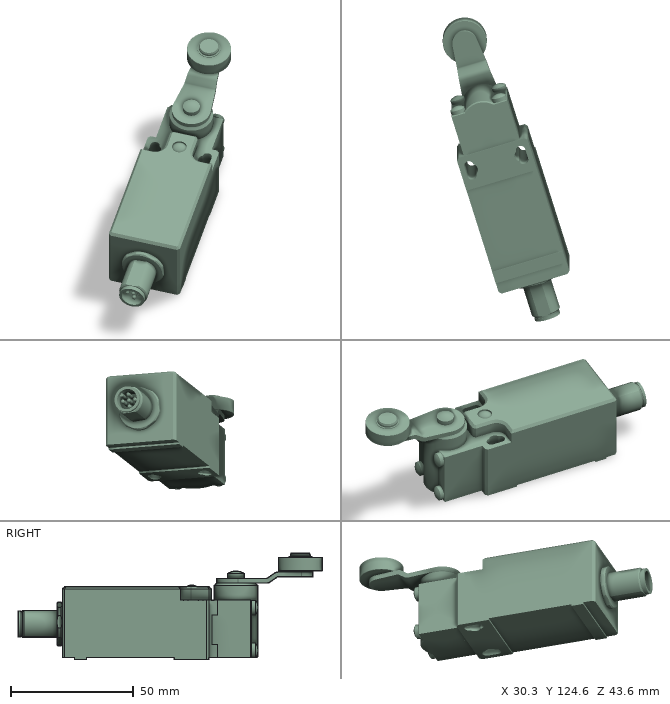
import cadquery as cq
import math


housing_width = 30.3
housing_length = 60.0
housing_top = 29.9
edge_chamfer = 1.0
foot_height = 0.7
front_foot_start = 5.0
front_foot_end = 10.0
rear_foot_start = 45.9
ledge_start = 48.5
ledge_top = 24.3
tongue_width = 11.7
tongue_end = 61.0
tongue_fillet = 4.4

slot_x = 11.1
slot_y = 53.6
slot_width = 3.9
slot_length = 8.0
slot_hole_x = 10.5
slot_hole_radius = 2.5

cover_screw_y = 53.1
cover_screw_radius = 3.0
cover_screw_recess = 0.7
cover_screw_dome = 1.4

head_width = 23.8
head_start = 63.5
head_end = 77.5
head_edge_chamfer = 0.4
coupling_start = 61.3
coupling_bottom = 6.2
coupling_top = 18.3
turret_y = 71.1
turret_radius = 9.0
turret_top = 31.3
turret_top_chamfer = 1.0
turret_bottom_chamfer = 0.5

head_screw_x = 8.8
head_screw_heights = (3.7, 21.3)
head_screw_radius = 3.0
head_screw_rim = 1.6
head_screw_dome = 1.1

arm_thickness = 2.0
arm_rise = 2.6
arm_wide_radius = 8.0
arm_tip_radius = 5.1
arm_bend_start = 83.9
arm_bend_end = 87.6
arm_inner_bend_radius = 0.9
arm_outer_bend_radius = arm_inner_bend_radius + arm_thickness
pivot_radius = 3.5
pivot_rim = 2.0
pivot_dome = 1.0

lever_end = 106.5
roller_diameter = 18.1
roller_radius = roller_diameter / 2
roller_y = lever_end - roller_radius
roller_gap = 0.4
roller_thickness = 5.6
roller_edge_chamfer = 0.1
roller_collar_radius = 4.7
roller_collar_height = 0.2
roller_pin_radius = 4.1
roller_pin_chamfer_height = 0.7
roller_pin_chamfer_width = 0.4
overall_height = 43.6

connector_z = 14.6
connector_turn = 5.5
nut_sides = 6
nut_corner_radius = 9.0
nut_flat_distance = 8.6
nut_thickness = 2.2
nut_chamfer = 0.5
connector_length = 18.1
shank_radius = 6.0
shank_flat_distance = 5.4
shank_end = 16.2
shank_end_chamfer = 0.5
groove_radius = 5.1
groove_width = 0.7
collar_radius = 5.4
socket_radius = 4.2
socket_depth = 8.7
contact_radius = 0.7
contact_tip_chamfer = 0.4
outer_contact_count = 4
contact_circle = 2.6
contact_setback = 1.9
key_radius = 0.7
key_circle = 3.7
key_angle = 180 / outer_contact_count


def box(x_size, y_range, z_range):
    """Box centred on X = 0."""
    size_y = y_range[1] - y_range[0]
    size_z = z_range[1] - z_range[0]
    return (
        cq.Workplane("XY")
        .box(x_size, size_y, size_z, centered=(True, False, False))
        .translate((0, y_range[0], z_range[0]))
    )


def upright_cylinder(radius, y, bottom, top):
    return cq.Workplane("XY", origin=(0, y, bottom)).circle(radius).extrude(top - bottom)


def domed_button(radius, rim_height, dome_height):
    """Round button on Z = 0 with a straight rim and a spherical top."""
    apex = rim_height + dome_height
    sphere_radius = (radius**2 + dome_height**2) / (2 * dome_height)
    ball = cq.Workplane("XY").sphere(sphere_radius).translate((0, 0, apex - sphere_radius))
    return cq.Workplane("XY").circle(radius).extrude(apex).intersect(ball)


def housing_base():
    base = box(housing_width, (0, housing_length), (0, ledge_top)).edges("|Z").chamfer(edge_chamfer)
    for gap in ((0, front_foot_start), (front_foot_end, rear_foot_start)):
        base = base.cut(box(housing_width, gap, (0, foot_height)))
    return base


def housing_cover():
    """Raised part with its rear tongue, chamfered all round the top."""
    half_width = housing_width / 2
    half_tongue = tongue_width / 2
    outline = [
        (-half_width, 0),
        (half_width, 0),
        (half_width, ledge_start),
        (half_tongue, ledge_start),
        (half_tongue, tongue_end),
        (-half_tongue, tongue_end),
        (-half_tongue, ledge_start),
        (-half_width, ledge_start),
    ]
    cover = cq.Workplane("XY", origin=(0, 0, ledge_top)).polyline(outline).close()
    cover = cover.extrude(housing_top - ledge_top)
    inner_corners = cq.selectors.BoxSelector(
        (-half_tongue - edge_chamfer, ledge_start - edge_chamfer, ledge_top),
        (half_tongue + edge_chamfer, ledge_start + edge_chamfer, housing_top),
    )
    cover = cover.edges(inner_corners).edges("|Z").fillet(tongue_fillet)
    cover = cover.faces("<Y or >Y").edges("|Z").chamfer(edge_chamfer)
    return cover.faces(">Z").chamfer(edge_chamfer)


def mounting_slots():
    slots = cq.Workplane("XY")
    for side in (-1, 1):
        slot = cq.Workplane("XY", origin=(side * slot_x, slot_y, 0))
        slot = slot.slot2D(slot_length, slot_width, 90).extrude(ledge_top)
        hole = cq.Workplane("XY", origin=(side * slot_hole_x, slot_y, 0))
        slots = slots.add(slot.union(hole.circle(slot_hole_radius).extrude(ledge_top)))
    return slots.combine()


def coupling():
    """Cross-shaped tab of the head that fills a matching recess in the housing neck."""
    depth = (coupling_start, head_start)
    across = box(head_width, depth, (coupling_bottom, coupling_top))
    upright = box(tongue_width, depth, (foot_height, ledge_top))
    return across.union(upright)


def make_housing():
    neck = box(head_width, (rear_foot_start, head_start), (foot_height, ledge_top))
    body = housing_base().union(neck).cut(coupling()).union(housing_cover()).cut(mounting_slots())
    recess_floor = housing_top - cover_screw_recess
    recess = upright_cylinder(cover_screw_radius, cover_screw_y, recess_floor, housing_top)
    screw = domed_button(cover_screw_radius, 0, cover_screw_dome)
    return body.cut(recess).union(screw.translate((0, cover_screw_y, recess_floor)))


def head_screw(x, z):
    screw = domed_button(head_screw_radius, head_screw_rim, head_screw_dome)
    return screw.rotate((0, 0, 0), (1, 0, 0), -90).translate((x, head_end, z))


def make_head():
    block = box(head_width, (head_start, head_end), (foot_height, ledge_top))
    block = block.faces(">Y").chamfer(head_edge_chamfer)
    turret = upright_cylinder(turret_radius, turret_y, foot_height, turret_top)
    turret = turret.faces(">Z").chamfer(turret_top_chamfer)
    turret = turret.faces("<Z").chamfer(turret_bottom_chamfer)
    head = block.union(coupling()).union(turret)
    for x in (-head_screw_x, head_screw_x):
        for z in head_screw_heights:
            head = head.union(head_screw(x, z))
    return head


def arm_plan():
    """Arm seen along Z: two arcs about the pivot and the roller, joined by their tangents."""
    tangent = math.asin((arm_wide_radius - arm_tip_radius) / (roller_y - turret_y))
    wide_x = arm_wide_radius * math.cos(tangent)
    wide_y = turret_y + arm_wide_radius * math.sin(tangent)
    tip_x = arm_tip_radius * math.cos(tangent)
    tip_y = roller_y + arm_tip_radius * math.sin(tangent)
    return (
        cq.Workplane("XY", origin=(0, 0, turret_top))
        .moveTo(wide_x, wide_y)
        .lineTo(tip_x, tip_y)
        .threePointArc((0, roller_y + arm_tip_radius), (-tip_x, tip_y))
        .lineTo(-wide_x, wide_y)
        .threePointArc((0, turret_y - arm_wide_radius), (wide_x, wide_y))
        .close()
        .extrude(arm_rise + arm_thickness)
    )


def arm_profile():
    """Arm seen along X: a strip with two bends, wider in X than the arm."""
    low = turret_top
    high = turret_top + arm_rise
    start = turret_y - arm_wide_radius
    end = roller_y + arm_tip_radius
    slope = math.atan2(arm_rise, arm_bend_end - arm_bend_start)
    shift = arm_thickness * math.tan(slope / 2)
    outline = [
        (start, low),
        (arm_bend_start + shift, low),
        (arm_bend_end + shift, high),
        (end, high),
        (end, high + arm_thickness),
        (arm_bend_end, high + arm_thickness),
        (arm_bend_start, low + arm_thickness),
        (start, low + arm_thickness),
    ]
    strip = cq.Workplane("YZ").polyline(outline).close().extrude(arm_wide_radius, both=True)
    bends = (
        (arm_bend_start, low + arm_thickness, arm_inner_bend_radius),
        (arm_bend_start + shift, low, arm_outer_bend_radius),
        (arm_bend_end + shift, high, arm_inner_bend_radius),
        (arm_bend_end, high + arm_thickness, arm_outer_bend_radius),
    )
    for y, z, radius in bends:
        strip = strip.edges(cq.selectors.NearestToPointSelector((0, y, z))).fillet(radius)
    return strip


def roller():
    bottom = turret_top + arm_rise + arm_thickness
    wheel_bottom = bottom + roller_gap
    wheel_top = wheel_bottom + roller_thickness
    wheel = upright_cylinder(roller_radius, roller_y, wheel_bottom, wheel_top)
    wheel = wheel.faces("<Z or >Z").chamfer(roller_edge_chamfer)
    collar_top = wheel_top + roller_collar_height
    collar = upright_cylinder(roller_collar_radius, roller_y, wheel_bottom, collar_top)
    pin_straight_top = overall_height - roller_pin_chamfer_height
    pin = upright_cylinder(roller_pin_radius, roller_y, bottom, pin_straight_top)
    pin_tip = cq.Solid.makeCone(
        roller_pin_radius,
        roller_pin_radius - roller_pin_chamfer_width,
        roller_pin_chamfer_height,
        pnt=cq.Vector(0, roller_y, pin_straight_top),
    )
    return wheel.union(collar).union(pin).union(cq.Workplane(pin_tip))


def make_lever():
    arm = arm_plan().intersect(arm_profile())
    pivot = domed_button(pivot_radius, pivot_rim, pivot_dome)
    pivot = pivot.translate((0, turret_y, turret_top + arm_thickness))
    return arm.union(pivot).union(roller())


def connector_cylinder(radius, start, end):
    """Cylinder along the plug axis, between two distances from the housing face."""
    return cq.Workplane("XY", origin=(0, 0, start)).circle(radius).extrude(end - start)


def nut():
    across_corners = 2 * nut_flat_distance / math.cos(math.pi / nut_sides)
    hexagon = cq.Workplane("XY").polygon(nut_sides, across_corners).extrude(nut_thickness)
    hexagon = hexagon.rotate((0, 0, 0), (0, 0, 1), 90)
    round_blank = connector_cylinder(nut_corner_radius, 0, nut_thickness)
    return hexagon.intersect(round_blank.faces("<Z or >Z").chamfer(nut_chamfer))


def shank():
    flats = cq.Workplane("XY").rect(2 * shank_radius, 2 * shank_flat_distance).extrude(shank_end)
    barrel = connector_cylinder(shank_radius, 0, shank_end).faces(">Z").chamfer(shank_end_chamfer)
    groove = connector_cylinder(groove_radius, shank_end, shank_end + groove_width)
    collar = connector_cylinder(collar_radius, shank_end + groove_width, connector_length)
    return barrel.intersect(flats).union(groove).union(collar)


def socket_contacts():
    floor = connector_length - socket_depth
    tip = connector_length - contact_setback
    centre_contact = connector_cylinder(contact_radius, floor, tip)
    centre_contact = centre_contact.faces(">Z").chamfer(contact_tip_chamfer)
    contacts = centre_contact
    for index in range(outer_contact_count):
        contact = centre_contact.translate((contact_circle, 0, 0))
        contacts = contacts.union(contact.rotate((0, 0, 0), (0, 0, 1), 360 / outer_contact_count * index))
    return contacts


def socket_key():
    """Rib on the socket wall, between two contacts."""
    key = connector_cylinder(key_radius, connector_length - socket_depth, connector_length - contact_setback)
    key = key.translate((key_circle, 0, 0))
    return key.rotate((0, 0, 0), (0, 0, 1), 90 + key_angle)


def make_connector():
    plug = nut().union(shank())
    plug = plug.cut(connector_cylinder(socket_radius, connector_length - socket_depth, connector_length))
    plug = plug.union(socket_contacts()).union(socket_key())
    plug = plug.rotate((0, 0, 0), (0, 0, 1), connector_turn)
    return plug.rotate((0, 0, 0), (1, 0, 0), 90).translate((0, 0, connector_z))


housing = make_housing()
head = make_head()
lever = make_lever()
connector = make_connector()

result = cq.Compound.makeCompound([housing.val(), head.val(), lever.val(), connector.val()])